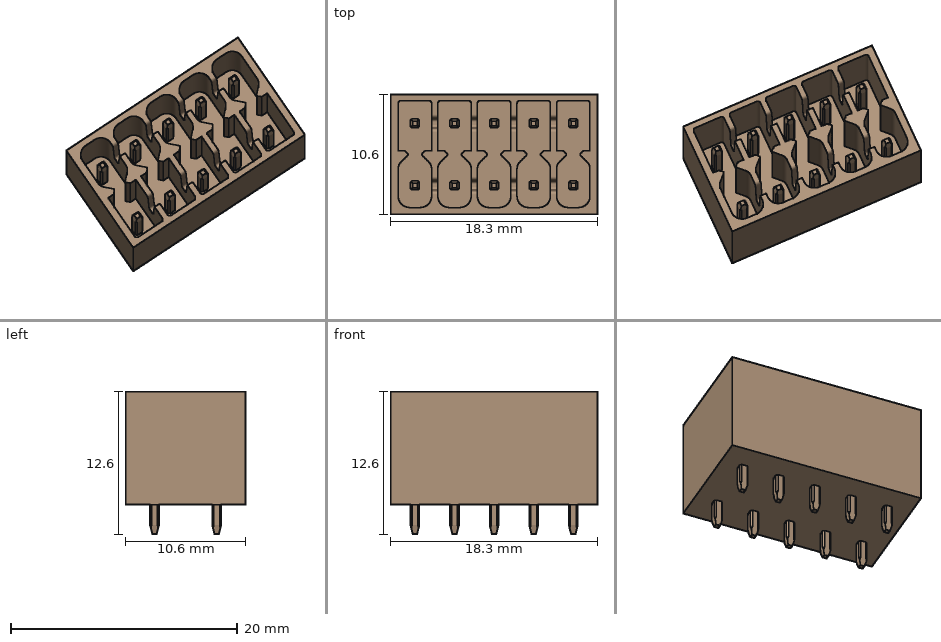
import cadquery as cq


body_length = 18.3
body_width = 10.6
body_height = 10.0

positions = 5
position_pitch = 3.5
row_pitch = 5.5

cell_depth = 8.0
cell_width = 2.95
cell_back_y = 4.75
cell_front_y = -4.7
back_corner_radius = 0.25
front_corner_radius = 1.0
shoulder_radius = 0.8
key_step_y = 0.33
key_step_half_width = 0.9
neck_half_width = 0.6
neck_flat = 0.08
neck_back_y = key_step_y - (key_step_half_width - neck_half_width)
neck_front_y = neck_back_y - neck_flat

notch_depth = 4.0
notch_top_width = 1.04
notch_bottom_width = 0.64
notch_rim_radius = 0.28
notch_floor_radius = 0.2

pick_margin = 0.01

pin_size = 0.8
pin_corner_chamfer = 0.15
pin_tip_size = 0.4
pin_taper_length = 0.8
pin_bottom_z = -2.6
pin_top_z = 8.0

position_xs = [(i - (positions - 1) / 2) * position_pitch for i in range(positions)]
wall_xs = [x + position_pitch / 2 for x in position_xs[:-1]]
row_ys = [-row_pitch / 2, row_pitch / 2]


def make_cell():
    """Cutter for one cell: lightly rounded back corners, a keyed neck and a well rounded front."""
    half_width = cell_width / 2
    shoulder_y = neck_front_y - (half_width - neck_half_width)
    floor_z = body_height - cell_depth
    outline = [
        (half_width, cell_back_y),
        (half_width, key_step_y),
        (key_step_half_width, key_step_y),
        (neck_half_width, neck_back_y),
        (neck_half_width, neck_front_y),
        (half_width, shoulder_y),
        (half_width, cell_front_y),
    ]
    mirrored = [(-x, y) for x, y in reversed(outline)]
    cell = (
        cq.Workplane("XY")
        .workplane(offset=floor_z)
        .polyline(outline + mirrored)
        .close()
        .extrude(cell_depth)
    )
    shoulder_edges = cell.edges("|Z").edges(
        cq.selectors.BoxSelector(
            (-cell_width, shoulder_y - pick_margin, floor_z),
            (cell_width, shoulder_y + pick_margin, body_height),
        )
    )
    cell = shoulder_edges.fillet(shoulder_radius)
    cell = cell.edges("|Z and <Y").fillet(front_corner_radius)
    return cell.edges("|Z and >Y").fillet(back_corner_radius)


def make_notch():
    """Cutter for one wall notch: tapered sides, rounded rim and rounded floor corners."""
    floor_z = body_height - notch_depth
    wall_thickness = position_pitch - cell_width
    half_top = notch_top_width / 2
    half_bottom = notch_bottom_width / 2
    rim_half = half_top + notch_rim_radius
    outline = [
        (rim_half + notch_rim_radius, body_height + notch_rim_radius),
        (rim_half + notch_rim_radius, body_height),
        (half_top, body_height),
        (half_bottom, floor_z),
    ]
    mirrored = [(-y, z) for y, z in reversed(outline)]
    notch = (
        cq.Workplane("YZ")
        .polyline(outline + mirrored)
        .close()
        .extrude(wall_thickness / 2, both=True)
    )
    notch = notch.edges("|X and <Z").fillet(notch_floor_radius)
    rim_edges = notch.edges("|X").edges(
        cq.selectors.BoxSelector(
            (-wall_thickness, -half_top - pick_margin, body_height - pick_margin),
            (wall_thickness, half_top + pick_margin, body_height + pick_margin),
        )
    )
    return rim_edges.fillet(notch_rim_radius)


def make_pin():
    """Square pin with chamfered long edges and a tapered tip at each end."""
    pin_length = pin_top_z - pin_bottom_z
    shaft = (
        cq.Workplane("XY")
        .workplane(offset=pin_bottom_z)
        .rect(pin_size, pin_size)
        .extrude(pin_length)
        .edges("|Z")
        .chamfer(pin_corner_chamfer)
    )
    half = pin_size / 2
    half_tip = pin_tip_size / 2
    side = [
        (half_tip, pin_bottom_z),
        (half, pin_bottom_z + pin_taper_length),
        (half, pin_top_z - pin_taper_length),
        (half_tip, pin_top_z),
    ]
    silhouette = side + [(-u, z) for u, z in reversed(side)]
    for plane in ("XZ", "YZ"):
        envelope = cq.Workplane(plane).polyline(silhouette).close().extrude(pin_size, both=True)
        shaft = shaft.intersect(envelope)
    return shaft


housing = cq.Workplane("XY").box(body_length, body_width, body_height, centered=(True, True, False))
cell = make_cell()
for x in position_xs:
    housing = housing.cut(cell.translate((x, 0, 0)))

notch = make_notch()
for x in wall_xs:
    for y in row_ys:
        housing = housing.cut(notch.translate((x, y, 0)))

pin = make_pin()
result = housing
for x in position_xs:
    for y in row_ys:
        result = result.union(pin.translate((x, y, 0)))